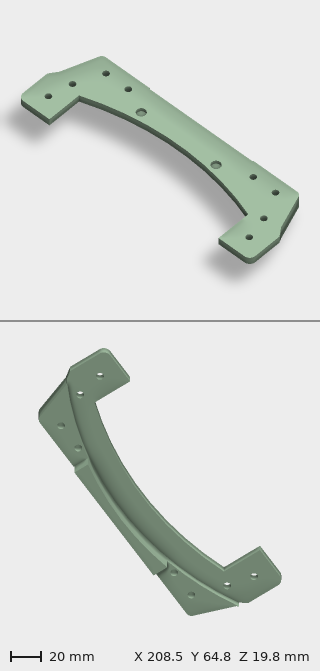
import cadquery as cq

length = 208.5
width = 64.8
height = 19.8
half_length = length / 2
rear_y = width / 2
front_y = -width / 2
top_z = height / 2

plate_thickness = 6.0
ledge_depth = 11.0

rear_corner_x = 88.5
knee_x = 99.5
knee_y = 2.5
shoulder_y = -4.2
leg_inner_x = 75.9
leg_inner_y = -4.0
arch_apex_y = 9.2
rear_corner_radius = 4.0
front_corner_radius = 5.0

wall_radius = 214.3
wall_apex_y = 26.0
block_half_length = 46.3
rear_relief = 0.6

screw_diameter = 5.0
screw_points = [(56.0, 22.0), (76.0, 22.0), (85.9, 0.5), (90.0, -18.1)]
socket_diameter = 7.3
socket_depth = 3.0
socket_y = 13.1
socket_xs = (-36.0, 31.0)


def plate_blank(depth):
    """Arched plate with two legs, extending the given depth below the top face."""
    blank = (
        cq.Workplane("XY", origin=(0, 0, top_z))
        .moveTo(-half_length, front_y)
        .lineTo(-leg_inner_x, front_y)
        .lineTo(-leg_inner_x, leg_inner_y)
        .threePointArc((0, arch_apex_y), (leg_inner_x, leg_inner_y))
        .lineTo(leg_inner_x, front_y)
        .lineTo(half_length, front_y)
        .lineTo(half_length, shoulder_y)
        .lineTo(knee_x, knee_y)
        .lineTo(rear_corner_x, rear_y)
        .lineTo(-rear_corner_x, rear_y)
        .lineTo(-knee_x, knee_y)
        .lineTo(-half_length, shoulder_y)
        .close()
        .extrude(-depth)
    )
    blank = blank.edges("|Z").edges(">Y").fillet(rear_corner_radius)
    return blank.edges("|Z").edges("<X or >X").edges("<Y").fillet(front_corner_radius)


def wall_cylinder():
    """Cylinder whose rear side is the concave wall of the ledge and block."""
    return (
        cq.Workplane("XY", origin=(0, wall_apex_y - wall_radius, top_z))
        .circle(wall_radius)
        .extrude(-height)
    )


def centre_slab(front, rear):
    """Full-height box over the centre block's length, between two Y positions."""
    return (
        cq.Workplane("XY", origin=(0, (front + rear) / 2, top_z))
        .rect(2 * block_half_length, rear - front)
        .extrude(-height)
    )


block_rear_y = rear_y - rear_relief
ledge = plate_blank(ledge_depth).cut(wall_cylinder())
block = centre_slab(0, block_rear_y).cut(wall_cylinder())
body = plate_blank(plate_thickness).union(ledge).union(block)

body = body.cut(centre_slab(block_rear_y, rear_y))

all_screw_points = [(side * x, y) for side in (-1, 1) for x, y in screw_points]
screw_holes = (
    cq.Workplane("XY", origin=(0, 0, top_z))
    .pushPoints(all_screw_points)
    .circle(screw_diameter / 2)
    .extrude(-ledge_depth)
)

sockets = (
    cq.Workplane("XY", origin=(0, 0, top_z))
    .pushPoints([(x, socket_y) for x in socket_xs])
    .circle(socket_diameter / 2)
    .extrude(-socket_depth)
)

result = body.cut(screw_holes).cut(sockets)